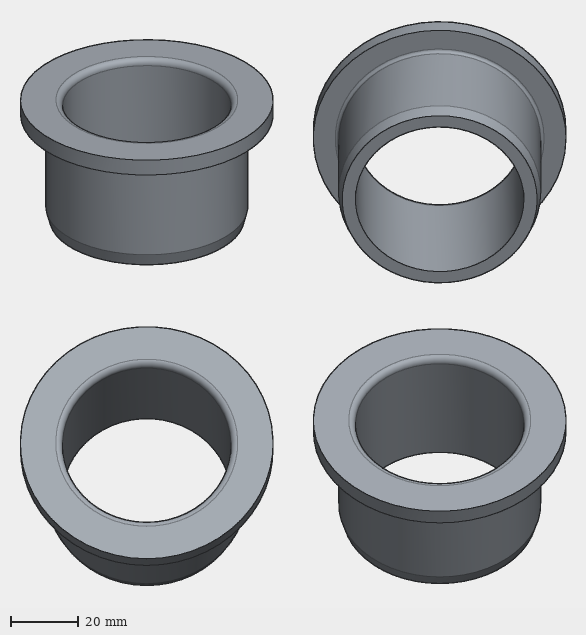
import cadquery as cq
import math

bore_diameter = 50.0
sleeve_diameter = 60.0
flange_diameter = 75.0
total_height = 40.0
flange_thickness = 5.0

lead_in_height = 4.0
lead_in_angle = 15.0
bore_mouth_radius = 2.0
neck_fillet_radius = 1.0

flange_bottom = total_height - flange_thickness
bore_radius = bore_diameter / 2
sleeve_radius = sleeve_diameter / 2
lead_in_depth = lead_in_height * math.tan(math.radians(lead_in_angle))


def make_profile():
    """Half section of the bushing, with X as the radius and Y as the height."""
    return (
        cq.Workplane("XZ")
        .moveTo(bore_radius, 0)
        .lineTo(sleeve_radius - lead_in_depth, 0)
        .lineTo(sleeve_radius, lead_in_height)
        .lineTo(sleeve_radius, flange_bottom - neck_fillet_radius)
        .radiusArc((sleeve_radius + neck_fillet_radius, flange_bottom), neck_fillet_radius)
        .lineTo(flange_diameter / 2, flange_bottom)
        .lineTo(flange_diameter / 2, total_height)
        .lineTo(bore_radius + bore_mouth_radius, total_height)
        .radiusArc((bore_radius, total_height - bore_mouth_radius), -bore_mouth_radius)
        .close()
    )


result = make_profile().revolve(360, (0, 0, 0), (0, 1, 0))